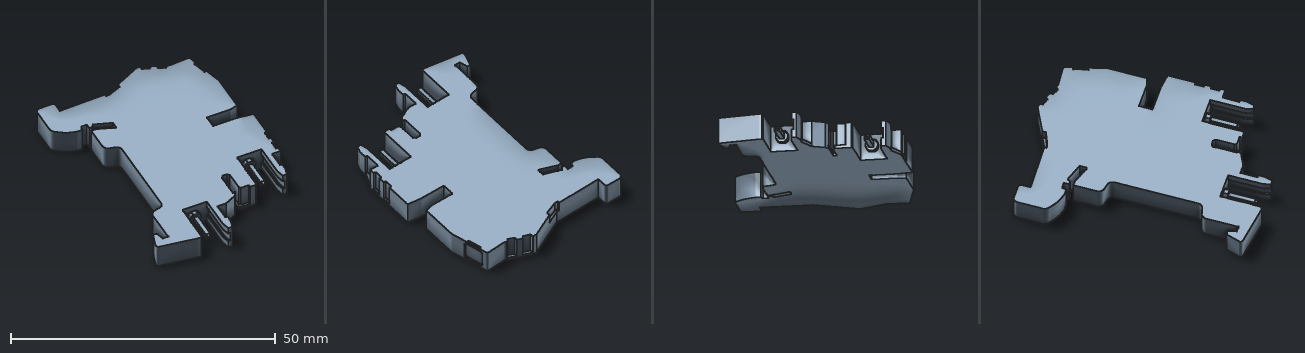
import cadquery as cq
import math

LENGTH = 47.4
HEIGHT = 36.5
THICKNESS = 5.05

BAY_DEPTH = 8.35
BAY_WIDTH = 5.1
BAY_CORNER_CHAMFER = 0.25
FINGER_RAMP_TOP = 3.1
UPPER_BAY = (30.7, HEIGHT - FINGER_RAMP_TOP)
LOWER_BAY = (LENGTH - BAY_DEPTH, 17.75)
BAYS = (UPPER_BAY, LOWER_BAY)

FINGER_RAMP_X = 2.05
FINGER_SHOULDER_X = 5.07
FINGER_THICKNESS = 1.7
FINGER_TAPER_X = 6.8
FINGER_TIP_TOP = 1.3
FINGER_TIP_BOTTOM = 0.4
FINGER_GROOVE_DEPTH = 0.4
FINGER_GROOVE_BOTTOM = 1.6
FINGER_GROOVE_TOP = 3.6
FINGER_POCKET_LENGTH = 3.3
FINGER_POCKET_FLOOR_Y = 1.25

PIN_WIDTH = 0.95
PIN_DROP = 2.85
PIN_Z = 2.65
PIN_SHANK_LENGTH = 6.2
PIN_TIP_LENGTH = 0.75
PIN_TIP_WIDTH = 0.1
COLLAR_DIAMETER = 2.35
COLLAR_LENGTH = 1.0

RAIL_CENTRE_X = 27.25
RAIL_TOP_Y = 9.8
RAIL_SEAT_Y = 6.88
RAIL_TOP_HALF_WIDTH = 9.15
RAIL_SEAT_HALF_WIDTH = 9.85
RAIL_TOP_RADIUS = 1.1
RAIL_SEAT_RADIUS = 1.2
HOOK_TIP = (46.15, 3.5)
HOOK_TIP_RADIUS = 0.55

FOOT_LEFT = 1.85
FOOT_TOP = 4.1
FOOT_TOP_RADIUS = 0.6
FOOT_BOTTOM_RADIUS = 0.95

NOTCH_LEFT = 18.2
NOTCH_RIGHT = 20.85
NOTCH_FLOOR = 28.1
SHOULDER_Y = 34.75

KEYWAY_TOP = 24.4
KEYWAY_BOTTOM = 23.75
KEYWAY_END = 34.47
KEYWAY_RIM = 0.5
KEYWAY_CHAMFER_X = 0.75
KEYWAY_CHAMFER_Y = 0.45
KEYWAY_RIM_TOP = 26.9
KEYWAY_RIM_CHAMFER = 0.45
KEYWAY_RIM_LIP_RISE = 0.25

NOSE_TOP_Y = 23.05
NOSE_BOTTOM_Y = 22.2
NOSE_ROOT = (2.15, 28.2)
NOSE_CORNER_RADIUS = 0.47
WAIST = (3.9, 14.3)

SLOPE_LOW = (FOOT_LEFT, 32.55)
SLOPE_HIGH = (10.05, SHOULDER_Y)

FLANK_SLOTS = (
    [(1.8, 27.95), (2.4, 27.25), (1.85, 26.0), (1.05, 26.0)],
    [(0.55, 25.05), (1.25, 24.5), (0.7, 23.1), (-0.1, 23.1)],
)
EDGE_SLOT_STARTS = (26.85, 29.9)
EDGE_SLOT_LENGTH = 1.7
EDGE_SLOT_WIDTH = 0.47
LATCH_RECESS = [(2.45, 17.1), (3.22, 17.1), (4.3, 14.45), (4.35, 13.7), (3.8, 13.7), (3.8, 14.3)]

LABEL_NOTCH_START = 1.9
LABEL_NOTCH_LENGTH = 2.95
LABEL_NOTCH_WIDTH = 0.47
LABEL_RECESS_START = 1.25
LABEL_RECESS_LENGTH = 4.25
LABEL_RECESS_WIDTH = 0.45
LABEL_RECESS_BOTTOM = 0.5
LABEL_RECESS_TOP = 4.45
LABEL_CORNER_RADIUS = 0.6

SLOT_DEPTH = 4.4
LATCH_DEPTH = 2.1
LABEL_NOTCH_DEPTH = 0.47


def finger_points(corner):
    """Outline of one latch finger and the bay below it, from ramp to lower lip."""
    x, y = corner
    lip_y = y - BAY_WIDTH
    return [
        (x + FINGER_RAMP_X, y + FINGER_RAMP_TOP),
        (x + FINGER_SHOULDER_X, y + FINGER_THICKNESS),
        (x + FINGER_TAPER_X, y + FINGER_THICKNESS),
        (x + BAY_DEPTH, y + FINGER_TIP_TOP),
        (x + BAY_DEPTH, y + FINGER_TIP_BOTTOM),
        (x + FINGER_TAPER_X, y),
        (x, y),
        (x, lip_y),
        (x + BAY_DEPTH - BAY_CORNER_CHAMFER, lip_y),
        (x + BAY_DEPTH, lip_y - BAY_CORNER_CHAMFER),
    ]


def prism(points, bottom, top):
    return cq.Workplane("XY").workplane(offset=bottom).polyline(points).close().extrude(top - bottom)


def round_corners(body, corners, radius):
    """Fillet the upright edges standing on the given XY corners."""
    for x, y in corners:
        edge = cq.selectors.NearestToPointSelector((x, y, THICKNESS / 2))
        body = body.edges("|Z").edges(edge).fillet(radius)
    return body


def housing():
    upper_lip_x = UPPER_BAY[0] + BAY_DEPTH
    rail_tops = [(RAIL_CENTRE_X + side * RAIL_TOP_HALF_WIDTH, RAIL_TOP_Y) for side in (1, -1)]
    rail_seats = [(RAIL_CENTRE_X + side * RAIL_SEAT_HALF_WIDTH, RAIL_SEAT_Y) for side in (1, -1)]
    left_and_top = [
        (0, NOSE_BOTTOM_Y),
        (0, NOSE_TOP_Y),
        NOSE_ROOT,
        SLOPE_LOW,
        SLOPE_HIGH,
        (17.8, SHOULDER_Y),
        (NOTCH_LEFT, 33.05),
        (NOTCH_LEFT, NOTCH_FLOOR),
        (NOTCH_RIGHT, NOTCH_FLOOR),
        (NOTCH_RIGHT, 33.53),
        (21.25, HEIGHT),
    ]
    keyway = [
        (upper_lip_x, KEYWAY_TOP + KEYWAY_CHAMFER_Y),
        (upper_lip_x - KEYWAY_CHAMFER_X, KEYWAY_TOP),
        (KEYWAY_END, KEYWAY_TOP),
        (KEYWAY_END, KEYWAY_BOTTOM),
        (upper_lip_x, KEYWAY_BOTTOM),
        (39.98, 23.2),
    ]
    rail_hook = [
        (LENGTH, 11.8),
        HOOK_TIP,
        (42.75, 4.55),
        (42.75, 5.3),
        (44.5, 5.8),
        (44.5, 7.0),
        (44.1, RAIL_SEAT_Y),
    ]
    spring_slot = [
        (11.75, RAIL_SEAT_Y),
        (11.75, 7.8),
        (13.05, 11.2),
        (13.05, 11.5),
        (11.6, 11.5),
        (10.35, 7.9),
        (10.95, 7.55),
        (10.95, RAIL_SEAT_Y),
        (9.9, RAIL_SEAT_Y),
        (9.9, 5.75),
        (10.8, 5.5),
        (10.8, 4.45),
    ]
    outline = left_and_top + finger_points(UPPER_BAY) + keyway + finger_points(LOWER_BAY) + rail_hook
    outline += [rail_seats[0], rail_tops[0], rail_tops[1], rail_seats[1]] + spring_slot
    foot_bottom_left = (FOOT_LEFT, 0)
    foot_top_left = (FOOT_LEFT, FOOT_TOP)
    body = (
        cq.Workplane("XY")
        .polyline(outline)
        .threePointArc((10.2, 2.5), (9.1, 0.8))
        .threePointArc((8.6, 0.25), (7.85, 0))
        .lineTo(*foot_bottom_left)
        .lineTo(*foot_top_left)
        .lineTo(4.15, FOOT_TOP)
        .lineTo(*WAIST)
        .close()
        .extrude(THICKNESS)
    )
    body = round_corners(body, [foot_bottom_left], FOOT_BOTTOM_RADIUS)
    body = round_corners(body, [foot_top_left], FOOT_TOP_RADIUS)
    body = round_corners(body, [NOSE_ROOT, SLOPE_LOW], NOSE_CORNER_RADIUS)
    body = round_corners(body, rail_tops, RAIL_TOP_RADIUS)
    body = round_corners(body, [HOOK_TIP], HOOK_TIP_RADIUS)
    return round_corners(body, rail_seats, RAIL_SEAT_RADIUS)


def finger_cuts(corner):
    """Pocket over the ramp, and the groove along the inner side of the finger."""
    x, y = corner
    left = x + FINGER_RAMP_X
    right = left + FINGER_POCKET_LENGTH
    floor = y + FINGER_POCKET_FLOOR_Y
    top = y + FINGER_RAMP_TOP
    pocket = prism(
        [(left, floor), (right, floor), (right, top), (left, top)],
        THICKNESS - SLOT_DEPTH, THICKNESS,
    )
    groove = prism(
        [
            (x, y),
            (x, y + FINGER_GROOVE_DEPTH),
            (x + FINGER_TAPER_X, y + FINGER_GROOVE_DEPTH),
            (x + BAY_DEPTH, y + FINGER_TIP_BOTTOM + FINGER_GROOVE_DEPTH),
            (x + BAY_DEPTH, y),
        ],
        FINGER_GROOVE_BOTTOM, FINGER_GROOVE_TOP,
    )
    return pocket.union(groove)


def contact_pin(corner):
    """Flat-sided collar, square shank and pointed tip along +X from the bay's inner wall."""
    x, y = corner
    wall = cq.Workplane("YZ", origin=(x, y - PIN_DROP, PIN_Z))
    flat_height = math.sqrt(COLLAR_DIAMETER**2 - PIN_WIDTH**2)
    flats = wall.rect(COLLAR_DIAMETER, flat_height).extrude(COLLAR_LENGTH)
    collar = wall.circle(COLLAR_DIAMETER / 2).extrude(COLLAR_LENGTH).intersect(flats)
    shank = wall.rect(PIN_WIDTH, PIN_WIDTH).extrude(PIN_SHANK_LENGTH)
    tip = (
        wall.workplane(offset=PIN_SHANK_LENGTH)
        .rect(PIN_WIDTH, PIN_WIDTH)
        .workplane(offset=PIN_TIP_LENGTH)
        .rect(PIN_TIP_WIDTH, PIN_TIP_WIDTH)
        .loft(ruled=True)
    )
    return collar.union(shank).union(tip)


def keyway_rim():
    """Recessed border that follows the keyway and turns up the lip beside it."""
    lip = UPPER_BAY[0] + BAY_DEPTH
    top = KEYWAY_TOP + KEYWAY_RIM
    bottom = KEYWAY_BOTTOM - KEYWAY_RIM
    end = KEYWAY_END - KEYWAY_RIM
    points = [
        (lip, KEYWAY_RIM_TOP),
        (lip - KEYWAY_RIM, KEYWAY_RIM_TOP),
        (lip - KEYWAY_RIM, top + KEYWAY_RIM_LIP_RISE),
        (lip - KEYWAY_RIM - KEYWAY_RIM_CHAMFER, top),
        (end + KEYWAY_RIM_CHAMFER, top),
        (end, top - KEYWAY_RIM_CHAMFER),
        (end, bottom + KEYWAY_RIM_CHAMFER),
        (end + KEYWAY_RIM_CHAMFER, bottom),
        (lip, bottom),
    ]
    return prism(points, THICKNESS - SLOT_DEPTH, THICKNESS)


def edge_slot(start):
    return (
        cq.Workplane("XY", origin=(start, HEIGHT - EDGE_SLOT_WIDTH, THICKNESS - SLOT_DEPTH))
        .rect(EDGE_SLOT_LENGTH, EDGE_SLOT_WIDTH, centered=False)
        .extrude(SLOT_DEPTH)
    )


def label_recess():
    """Shallow notch in the upper face over a round-cornered recess in the slope."""
    run = SLOPE_HIGH[0] - SLOPE_LOW[0]
    rise = SLOPE_HIGH[1] - SLOPE_LOW[1]
    recess_height = LABEL_RECESS_TOP - LABEL_RECESS_BOTTOM
    notch = cq.Workplane("XY").box(
        LABEL_NOTCH_LENGTH, 2 * LABEL_NOTCH_WIDTH, LABEL_NOTCH_DEPTH, centered=(False, True, False)
    )
    notch = notch.translate((LABEL_NOTCH_START, 0, THICKNESS - LABEL_NOTCH_DEPTH))
    recess = cq.Workplane("XY").box(
        LABEL_RECESS_LENGTH, 2 * LABEL_RECESS_WIDTH, recess_height, centered=(False, True, False)
    )
    recess = recess.edges("|Y").fillet(LABEL_CORNER_RADIUS)
    recess = recess.translate((LABEL_RECESS_START, 0, LABEL_RECESS_BOTTOM))
    along_slope = math.degrees(math.atan2(rise, run))
    cuts = notch.union(recess).rotate((0, 0, 0), (0, 0, 1), along_slope)
    return cuts.translate((*SLOPE_LOW, 0))


result = housing()
for bay in BAYS:
    result = result.cut(finger_cuts(bay)).union(contact_pin(bay))
result = result.cut(keyway_rim())
for slot in FLANK_SLOTS:
    result = result.cut(prism(slot, THICKNESS - SLOT_DEPTH, THICKNESS))
for start in EDGE_SLOT_STARTS:
    result = result.cut(edge_slot(start))
result = result.cut(prism(LATCH_RECESS, THICKNESS - LATCH_DEPTH, THICKNESS))
result = result.cut(label_recess())